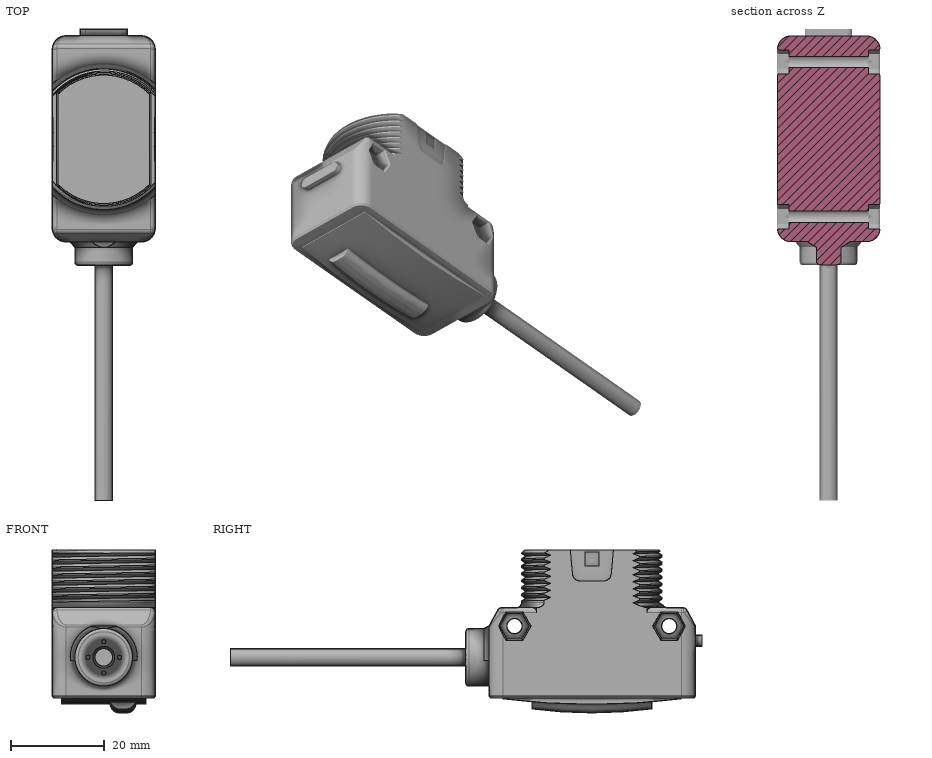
import cadquery as cq
import math


WIDTH = 22.0
HALF_WIDTH = WIDTH / 2
LENGTH = 44.0
BLOCK_CENTER_Y = 0.1
REAR_Y = BLOCK_CENTER_Y + LENGTH / 2
FRONT_Y = BLOCK_CENTER_Y - LENGTH / 2
SHOULDER_Z = -12.3
FLOOR_Z = -31.6
CORNER_RADIUS = 3.0
SHOULDER_EDGE_RADIUS = 1.0
SLOPE_RUN = 2.1
SLOPE_DROP = 3.9
SLOPE_FOOT_Z = SHOULDER_Z - SLOPE_DROP
FLOOR_CHAMFER_HEIGHT = 0.5
FLOOR_CHAMFER_WIDTH = 0.3

THREAD_RADIUS = 15.0
THREAD_PITCH = 1.5
THREAD_DEPTH = 0.9
THREAD_GROOVE_WIDTH = 1.2
THREAD_CLEARANCE = 0.3
THREAD_START_Z = -11.45
THREAD_TURNS = 8
RIM_CHAMFER = 0.7
BARREL_FLARE = 1.1
BARREL_FOOT_Z = FLOOR_Z / 2

LENS_RADIUS = 13.7
LENS_HALF_WIDTH = 9.8
LENS_GROOVE = 0.3

TAB_TOP_HALF_WIDTH = 4.6
TAB_BOTTOM_HALF_WIDTH = 4.0
TAB_HEIGHT = 6.6
TAB_CORNER_RADIUS = 1.6
TAB_DEPTH = 0.2
SQUARE_SIZE = 3.0
SQUARE_TOP_Z = -0.4
SQUARE_DEPTH = 0.5

HOLE_SPACING = 33.0
HOLE_Z = -16.25
HOLE_DIAMETER = 3.2
HEX_ACROSS_FLATS = 5.5
HEX_DEPTH = 2.5
HEX_CHAMFER = 0.3

CABLE_Z = -22.9
GLAND_RADIUS = 6.15
GLAND_LENGTH = 5.0
GLAND_EDGE_RADIUS = 0.7
COLLAR_RADIUS = 7.15
COLLAR_LENGTH = 1.15
COLLAR_BELOW_AXIS = 0.65
PIN_HOLE_DIAMETER = 0.9
PIN_HOLE_CIRCLE_RADIUS = 3.35
PIN_HOLE_DEPTH = 1.0
PIN_HOLE_COUNT = 4

CABLE_RADIUS = 1.87
CABLE_END_Y = -77.08
BORE_CHAMFER = 0.45

REAR_BOSS_WIDTH = 10.1
REAR_BOSS_HEIGHT = 2.4
REAR_BOSS_END_Y = 23.5
REAR_BOSS_Z = -19.35

COVER_HALF_WIDTH = 9.0
COVER_HALF_LENGTH = 19.0
COVER_DROP = 1.3
BAR_X = 4.1
BAR_WIDTH = 5.5
BAR_HALF_LENGTH = 12.8
BAR_END_Z = -33.9
BAR_BOTTOM_Z = -34.75
BAR_EDGE_RADIUS = 2.0


def flatted_disc(radius, half_width, z_bottom, height):
    """Disc about the Z axis with two flats parallel to the YZ plane."""
    disc = cq.Workplane("XY", origin=(0, 0, z_bottom)).circle(radius).extrude(height)
    slab = cq.Workplane("XY", origin=(0, 0, z_bottom)).rect(2 * half_width, 3 * radius).extrude(height)
    return disc.intersect(slab)


def make_block():
    """Rounded block with sloped ends; every edge of the shoulder and the slopes is rounded."""
    prism = (
        cq.Workplane("XY", origin=(0, BLOCK_CENTER_Y, FLOOR_Z))
        .rect(WIDTH, LENGTH)
        .extrude(SHOULDER_Z - FLOOR_Z)
        .edges("|Z")
        .fillet(CORNER_RADIUS)
        .faces("<Z")
        .chamfer(FLOOR_CHAMFER_HEIGHT, FLOOR_CHAMFER_WIDTH)
    )
    side_profile = (
        cq.Workplane("YZ", origin=(-HALF_WIDTH, 0, 0))
        .moveTo(FRONT_Y, FLOOR_Z)
        .lineTo(REAR_Y, FLOOR_Z)
        .lineTo(REAR_Y, SLOPE_FOOT_Z)
        .lineTo(REAR_Y - SLOPE_RUN, SHOULDER_Z)
        .lineTo(FRONT_Y + SLOPE_RUN, SHOULDER_Z)
        .lineTo(FRONT_Y, SLOPE_FOOT_Z)
        .close()
        .extrude(WIDTH)
    )
    block = prism.intersect(side_profile)
    upper_box = cq.selectors.BoxSelector(
        (-WIDTH, -LENGTH, SLOPE_FOOT_Z - SHOULDER_EDGE_RADIUS / 2),
        (WIDTH, LENGTH, 0),
    )
    return block.edges(upper_box).fillet(SHOULDER_EDGE_RADIUS)


def make_thread_groove():
    """Helical V-groove that runs out through the barrel top."""
    length = THREAD_PITCH * THREAD_TURNS
    path = cq.Wire.makeHelix(THREAD_PITCH, length, THREAD_RADIUS, cq.Vector(0, 0, THREAD_START_Z))
    half_mouth = THREAD_GROOVE_WIDTH / 2 * (1 + THREAD_CLEARANCE / THREAD_DEPTH)
    return (
        cq.Workplane("XZ")
        .moveTo(THREAD_RADIUS - THREAD_DEPTH, THREAD_START_Z)
        .lineTo(THREAD_RADIUS + THREAD_CLEARANCE, THREAD_START_Z + half_mouth)
        .lineTo(THREAD_RADIUS + THREAD_CLEARANCE, THREAD_START_Z - half_mouth)
        .close()
        .sweep(cq.Workplane(obj=path), isFrenet=True)
    )


def make_barrel():
    flare_radius = THREAD_RADIUS + BARREL_FLARE
    arc_reach = BARREL_FLARE * (1 - math.sqrt(0.5))
    barrel = (
        cq.Workplane("XZ")
        .moveTo(0, BARREL_FOOT_Z)
        .lineTo(flare_radius, BARREL_FOOT_Z)
        .lineTo(flare_radius, SHOULDER_Z)
        .threePointArc(
            (THREAD_RADIUS + arc_reach, SHOULDER_Z + arc_reach),
            (THREAD_RADIUS, SHOULDER_Z + BARREL_FLARE),
        )
        .lineTo(THREAD_RADIUS, -RIM_CHAMFER)
        .lineTo(THREAD_RADIUS - RIM_CHAMFER, 0)
        .lineTo(0, 0)
        .close()
        .revolve(360, (0, 0, 0), (0, 1, 0))
        .cut(make_thread_groove())
    )
    slab = cq.Workplane("XY").rect(WIDTH, LENGTH).extrude(FLOOR_Z)
    return barrel.intersect(slab)


def make_lens_groove():
    outer = flatted_disc(LENS_RADIUS + LENS_GROOVE, LENS_HALF_WIDTH + LENS_GROOVE, -LENS_GROOVE, LENS_GROOVE)
    inner = flatted_disc(LENS_RADIUS, LENS_HALF_WIDTH, -LENS_GROOVE, LENS_GROOVE)
    return outer.cut(inner)


def make_flat_recesses():
    """Tapered recess with a deeper square pocket, on both flats."""
    tab = (
        cq.Workplane("YZ", origin=(HALF_WIDTH - TAB_DEPTH, 0, 0))
        .moveTo(-TAB_TOP_HALF_WIDTH, 0)
        .lineTo(TAB_TOP_HALF_WIDTH, 0)
        .lineTo(TAB_BOTTOM_HALF_WIDTH, -TAB_HEIGHT)
        .lineTo(-TAB_BOTTOM_HALF_WIDTH, -TAB_HEIGHT)
        .close()
        .extrude(TAB_DEPTH)
        .faces("<Z")
        .edges("|X")
        .fillet(TAB_CORNER_RADIUS)
    )
    square = (
        cq.Workplane("YZ", origin=(HALF_WIDTH - SQUARE_DEPTH, 0, SQUARE_TOP_Z - SQUARE_SIZE / 2))
        .rect(SQUARE_SIZE, SQUARE_SIZE)
        .extrude(SQUARE_DEPTH)
    )
    recess = tab.union(square)
    return recess.union(recess.mirror("YZ"))


def make_cross_hole(y):
    """Through hole along X with a chamfered hexagonal pocket at each end."""
    hole = (
        cq.Workplane("YZ", origin=(-HALF_WIDTH, y, HOLE_Z))
        .circle(HOLE_DIAMETER / 2)
        .extrude(WIDTH)
    )
    across_corners = HEX_ACROSS_FLATS / math.cos(math.pi / 6)
    mouth_corners = (HEX_ACROSS_FLATS + 2 * HEX_CHAMFER) / math.cos(math.pi / 6)
    pocket = (
        cq.Workplane("YZ", origin=(HALF_WIDTH - HEX_DEPTH, y, HOLE_Z))
        .polygon(6, across_corners)
        .extrude(HEX_DEPTH)
    )
    mouth = (
        cq.Workplane("YZ", origin=(HALF_WIDTH - HEX_CHAMFER, y, HOLE_Z))
        .polygon(6, across_corners)
        .workplane(offset=HEX_CHAMFER)
        .polygon(6, mouth_corners)
        .loft(ruled=True)
    )
    pocket = pocket.union(mouth)
    return hole.union(pocket).union(pocket.mirror("YZ"))


def make_gland():
    gland = (
        cq.Workplane("XZ", origin=(0, FRONT_Y, CABLE_Z))
        .circle(GLAND_RADIUS)
        .extrude(GLAND_LENGTH)
        .faces("<Y")
        .edges()
        .fillet(GLAND_EDGE_RADIUS)
    )
    collar = (
        cq.Workplane("XZ", origin=(0, FRONT_Y, CABLE_Z))
        .circle(COLLAR_RADIUS)
        .workplane(offset=COLLAR_LENGTH)
        .circle(GLAND_RADIUS)
        .loft()
    )
    collar_bottom = CABLE_Z - COLLAR_BELOW_AXIS
    gland_top = CABLE_Z + GLAND_RADIUS
    kept = (
        cq.Workplane("YZ", origin=(-HALF_WIDTH, 0, 0))
        .moveTo(FRONT_Y, collar_bottom)
        .lineTo(FRONT_Y, SLOPE_FOOT_Z)
        .lineTo(FRONT_Y - COLLAR_LENGTH, gland_top)
        .lineTo(FRONT_Y - COLLAR_LENGTH, collar_bottom)
        .close()
        .extrude(WIDTH)
    )
    return gland.union(collar.intersect(kept))


def make_gland_holes():
    """Pin holes around the cable, and the bore with a chamfered mouth that takes the cable."""
    end_y = FRONT_Y - GLAND_LENGTH
    pins = (
        cq.Workplane("XZ", origin=(0, end_y, CABLE_Z))
        .polarArray(PIN_HOLE_CIRCLE_RADIUS, 0, 360, PIN_HOLE_COUNT)
        .circle(PIN_HOLE_DIAMETER / 2)
        .extrude(-PIN_HOLE_DEPTH)
    )
    bore = (
        cq.Workplane("XZ", origin=(0, end_y, CABLE_Z))
        .circle(CABLE_RADIUS)
        .extrude(-GLAND_LENGTH)
        .faces("<Y")
        .workplane()
        .circle(CABLE_RADIUS + BORE_CHAMFER)
        .workplane(offset=-BORE_CHAMFER)
        .circle(CABLE_RADIUS)
        .loft()
    )
    return pins.union(bore)


def make_rear_boss():
    height = REAR_BOSS_END_Y - REAR_Y
    return (
        cq.Workplane("XZ", origin=(0, REAR_BOSS_END_Y, REAR_BOSS_Z))
        .slot2D(REAR_BOSS_WIDTH, REAR_BOSS_HEIGHT)
        .extrude(height)
    )


def bowed_bar(x_center, width, half_length, end_z, bottom_z):
    """Bar along Y hanging from the housing floor, with its underside bowed downwards."""
    return (
        cq.Workplane("YZ", origin=(x_center - width / 2, 0, 0))
        .moveTo(-half_length, FLOOR_Z)
        .lineTo(-half_length, end_z)
        .threePointArc((0, bottom_z), (half_length, end_z))
        .lineTo(half_length, FLOOR_Z)
        .close()
        .extrude(width)
    )


def make_underside():
    cover_edge_z = FLOOR_Z - FLOOR_CHAMFER_WIDTH / 2
    cover = bowed_bar(0, 2 * COVER_HALF_WIDTH, COVER_HALF_LENGTH, cover_edge_z, FLOOR_Z - COVER_DROP)
    bar = bowed_bar(BAR_X, BAR_WIDTH, BAR_HALF_LENGTH, BAR_END_Z, BAR_BOTTOM_Z)
    bar = bar.edges("%CIRCLE").fillet(BAR_EDGE_RADIUS)
    return cover.union(bar)


def make_housing():
    housing = make_block().union(make_barrel())
    housing = housing.union(make_gland()).union(make_rear_boss()).union(make_underside())
    housing = housing.cut(make_lens_groove()).cut(make_flat_recesses()).cut(make_gland_holes())
    for side in (-1, 1):
        housing = housing.cut(make_cross_hole(side * HOLE_SPACING / 2))
    return housing


def make_cable():
    return (
        cq.Workplane("XZ", origin=(0, FRONT_Y, CABLE_Z))
        .circle(CABLE_RADIUS)
        .extrude(FRONT_Y - CABLE_END_Y)
    )


housing = make_housing().solids()
cable = make_cable()

result = cq.Compound.makeCompound([housing.val(), cable.val()])